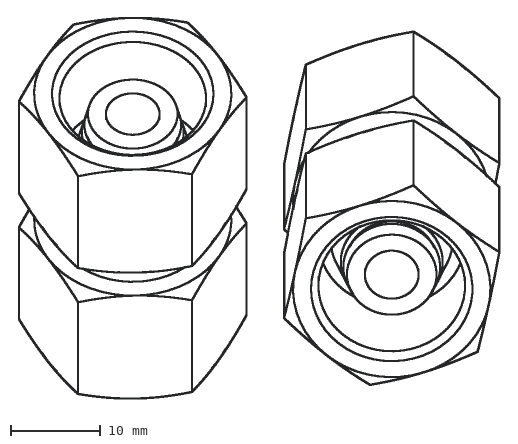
import cadquery as cq
import math

length = 40.0
across_flats = 22.0
nut_length = 18.0
neck_diameter = 18.0
hex_chamfer_angle = 30.0

socket_diameter = 16.35
socket_mouth_diameter = 18.0

bore_diameter = 6.0
tip_recess = 3.55
tip_radius = 5.0
groove_upper_radius = 5.4
groove_lower_radius = 5.7
groove_depth = 0.35
cone_end_radius = 6.8
cone_half_angle = 12.0

across_corners = across_flats / math.cos(math.radians(30))
half_length = length / 2


def cone_height_at(radius):
    """Height at which the upper nipple cone has the given radius."""
    drop = (radius - tip_radius) / math.tan(math.radians(cone_half_angle))
    return half_length - tip_recess - drop


socket_floor = cone_height_at(cone_end_radius)


def hex_nut():
    """Upper nut with both ends turned down to a circle as wide as the flats."""
    flat_radius = across_flats / 2
    corner_radius = across_corners / 2
    chamfer_height = (corner_radius - flat_radius) * math.tan(math.radians(hex_chamfer_angle))
    bottom = half_length - nut_length
    prism = (
        cq.Workplane("XY")
        .workplane(offset=bottom)
        .polygon(6, across_corners)
        .extrude(nut_length)
        .rotate((0, 0, 0), (0, 0, 1), 30)
    )
    turned_envelope = (
        cq.Workplane("XZ")
        .moveTo(0, bottom)
        .lineTo(flat_radius, bottom)
        .lineTo(corner_radius, bottom + chamfer_height)
        .lineTo(corner_radius, half_length - chamfer_height)
        .lineTo(flat_radius, half_length)
        .lineTo(0, half_length)
        .close()
        .revolve(360, (0, 0, 0), (0, 1, 0))
    )
    return prism.intersect(turned_envelope)


def socket():
    """Blind round socket in the upper nut with a 45 degree lead-in."""
    radius = socket_diameter / 2
    mouth_radius = socket_mouth_diameter / 2
    lead_in = mouth_radius - radius
    return (
        cq.Workplane("XZ")
        .moveTo(0, socket_floor)
        .lineTo(radius, socket_floor)
        .lineTo(radius, half_length - lead_in)
        .lineTo(mouth_radius, half_length)
        .lineTo(0, half_length)
        .close()
        .revolve(360, (0, 0, 0), (0, 1, 0))
    )


def nipple():
    """Grooved cone standing on the socket floor."""
    tip = cone_height_at(tip_radius)
    groove_top = cone_height_at(groove_upper_radius)
    groove_bottom = cone_height_at(groove_lower_radius)
    groove_radius = groove_upper_radius - groove_depth
    return (
        cq.Workplane("XZ")
        .moveTo(0, socket_floor)
        .lineTo(cone_end_radius, socket_floor)
        .lineTo(groove_lower_radius, groove_bottom)
        .lineTo(groove_radius, groove_bottom)
        .lineTo(groove_radius, groove_top)
        .lineTo(groove_upper_radius, groove_top)
        .lineTo(tip_radius, tip)
        .lineTo(0, tip)
        .close()
        .revolve(360, (0, 0, 0), (0, 1, 0))
    )


neck_length = length - 2 * nut_length
neck = cq.Workplane("XY").circle(neck_diameter / 2).extrude(neck_length / 2, both=True)
bore = cq.Workplane("XY").circle(bore_diameter / 2).extrude(half_length, both=True)

upper_end = hex_nut().cut(socket()).union(nipple())
lower_end = upper_end.mirror("XY")
result = neck.union(upper_end).union(lower_end).cut(bore)